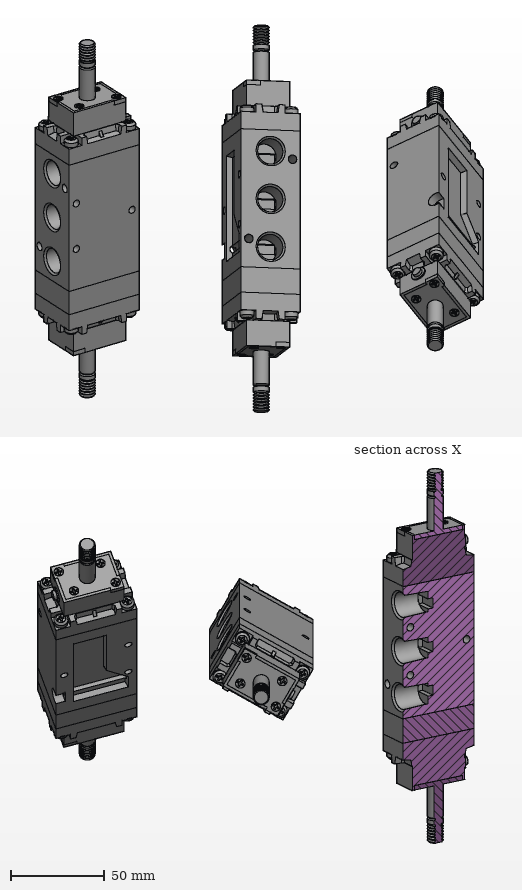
import cadquery as cq
import math


width = 32.5
depth = 45.5
total_length = 209.3
cap_height = 13.9
pilot_height = 13.85
cap_base = 44.4
cap_top = cap_base + cap_height
pilot_top = cap_top + pilot_height
stem_tip = total_length / 2
spacer_height = 13.8
body_top = cap_base
body_bottom = -cap_base + spacer_height
body_mid = (body_top + body_bottom) / 2
side_x = width / 2
side_y = depth / 2

port_pitch = 26.0
port_mouth_radius = 8.0
port_thread_radius = 6.9
port_floor_radius = 6.5
port_chamfer = port_mouth_radius - port_thread_radius
port_depth = 16.0
passage_pitch = 24.65
passage_height = 5.5
passage_depth = 3.0
mount_hole_diameter = 4.6
mount_hole_x = 12.0
mount_hole_z = 22.0
cross_hole_diameter = 4.0
cross_hole_y = 18.0
cross_hole_z = 13.5
recess_draft = 15.0
recess_depth = 3.3
recess_top = 35.6
recess_bottom = -21.7
recess_back = 12.8
recess_front_upper = -5.8
recess_front_lower = -17.9
recess_slope_start = 0.5
edge_notch_radius = 4.6
edge_notch_inset = 2.0
edge_notch_depth = 5.3

corner_size = 8.3
corner_depth = 4.4
screw_x = 12.1
screw_y = 18.6
screw_radius = 3.8
screw_top_radius = 2.6
screw_side_height = 2.5
screw_cone_height = 1.3
cap_cross_length = 3.4
cap_cross_width = 0.9
cap_cross_depth = 1.2
pocket_depth = 4.4
pocket_floor_rise = 1.0
pocket_draft = 10.0
pocket_corner = 1.3
wide_pocket_half = 11.4
narrow_pocket_half = 4.8
wall_gap = 0.3
rib_width = 1.9
rib_length = 2.4
rib_drop = 1.3

pilot_width = 23.7
pilot_depth = 33.8
plate_thickness = 2.5
rim = 1.6
tab_x = 7.7
tab_y = 7.3
tab_screw = (7.75, 13.5)
plate_screw = (6.2, -9.4)
screw_well_radius = 2.5
screw_well_depth = 0.4
pilot_cross_length = 3.4
pilot_cross_width = 0.9
pilot_cross_depth = 1.0
button_flange_radius = 4.2
button_z = cap_top + button_flange_radius
button_flange_thickness = 0.7
button_radius = 2.6
button_reach = 2.4

stem_radius = 4.3
thread_root_radius = 3.7
thread_pitch = 1.6
thread_count = 6
neck_height = 0.85
collar_height = 2.5
groove_height = 1.4


def block(size_x, size_y, z_bottom, z_top):
    """Box centred on the Z axis between two levels."""
    base = cq.Workplane("XY", origin=(0, 0, z_bottom))
    return base.rect(size_x, size_y).extrude(z_top - z_bottom)


def cross_cutter(x, y, z_top, length, arm_width, cut_depth):
    """Phillips cross reaching down from z_top."""
    base = cq.Workplane("XY", origin=(x, y, z_top - cut_depth))
    arm = base.rect(length, arm_width).extrude(cut_depth)
    return arm.union(base.rect(arm_width, length).extrude(cut_depth))


def port_cutter(z):
    """Chamfered, tapered port bored in from the -Y face."""
    profile = [
        (0, 0),
        (port_mouth_radius, 0),
        (port_thread_radius, port_chamfer),
        (port_floor_radius, port_depth),
        (0, port_depth),
    ]
    cutter = cq.Workplane("XY").polyline(profile).close().revolve(360, (0, 0, 0), (0, 1, 0))
    return cutter.translate((0, -side_y, z))


def passage_cutter(z):
    """Flat passage that continues behind the floor of a port."""
    cutter = cq.Workplane("XY").box(2 * port_floor_radius, passage_depth, passage_height)
    return cutter.translate((0, -side_y + port_depth + passage_depth / 2, z))


def side_recess_cutter():
    """Drafted recess in the -X face; its lower front corner is cut at 45 degrees."""
    slope_end = recess_slope_start - (recess_front_upper - recess_front_lower)
    outline = [
        (recess_back, recess_top),
        (recess_back, recess_bottom),
        (recess_front_lower, recess_bottom),
        (recess_front_lower, slope_end),
        (recess_front_upper, recess_slope_start),
        (recess_front_upper, recess_top),
    ]
    face = cq.Workplane("YZ", origin=(-side_x, 0, 0))
    return face.polyline(outline).close().extrude(recess_depth, taper=recess_draft)


def make_valve_body():
    body = block(width, depth, body_bottom, body_top)
    for step in (-1, 0, 1):
        body = body.cut(port_cutter(body_mid + step * port_pitch))
        body = body.cut(passage_cutter(body_mid + step * passage_pitch))
    body = body.cut(side_recess_cutter())

    for side in (-1, 1):
        start = (side * mount_hole_x, -side_y, body_mid + side * mount_hole_z)
        along_y = cq.Workplane("XZ", origin=start)
        body = body.cut(along_y.circle(mount_hole_diameter / 2).extrude(-depth))

    cross_holes = [
        (cross_hole_y, body_mid),
        (-cross_hole_y, body_mid + cross_hole_z),
        (-cross_hole_y, body_mid - cross_hole_z),
    ]
    along_x = cq.Workplane("YZ", origin=(-side_x, 0, 0)).pushPoints(cross_holes)
    body = body.cut(along_x.circle(cross_hole_diameter / 2).extrude(width))

    notch_start = (-side_x + edge_notch_inset, side_y, body_mid - mount_hole_z)
    notch = cq.Workplane("XZ", origin=notch_start).circle(edge_notch_radius)
    return body.cut(notch.extrude(edge_notch_depth))


def make_spacer():
    return block(width, depth, -cap_base, body_bottom)


def pocket_cutter(half_width, face_distance, wall_distance):
    """Pocket open on top and outwards along -Y: drafted walls, floor falling outwards."""
    reach = face_distance + pocket_depth
    outline = [
        (-half_width, -reach),
        (half_width, -reach),
        (half_width, -wall_distance - pocket_corner),
        (half_width - pocket_corner, -wall_distance),
        (-half_width + pocket_corner, -wall_distance),
        (-half_width, -wall_distance - pocket_corner),
    ]
    plan = cq.Workplane("XY", origin=(0, 0, cap_top)).polyline(outline).close()
    well = plan.extrude(-pocket_depth, taper=pocket_draft)
    floor_low = cap_top - pocket_depth
    slope = pocket_floor_rise / (face_distance - wall_distance)
    floor_profile = [
        (-reach, floor_low - slope * pocket_depth),
        (0, floor_low + slope * face_distance),
        (0, cap_top),
        (-reach, cap_top),
    ]
    side_plane = cq.Workplane("YZ", origin=(-half_width, 0, 0))
    return well.intersect(side_plane.polyline(floor_profile).close().extrude(2 * half_width))


def pocket_rib(wall_distance):
    """Small wedge left standing against the inner wall of a pocket."""
    wall_lean = math.tan(math.radians(pocket_draft)) * rib_drop
    top = cap_top - rib_drop
    bottom = cap_top - pocket_depth
    shoulder = -wall_distance - wall_lean
    profile = [
        (-wall_distance, bottom),
        (-wall_distance, top),
        (shoulder, top),
        (shoulder - rib_length, bottom),
    ]
    plane = cq.Workplane("YZ", origin=(-rib_width / 2, 0, 0))
    return plane.polyline(profile).close().extrude(rib_width)


def cap_screw_head(x, y):
    base = cap_top - corner_depth
    shoulder = base + screw_side_height
    top = shoulder + screw_cone_height
    profile = [
        (0, base),
        (screw_radius, base),
        (screw_radius, shoulder),
        (screw_top_radius, top),
        (0, top),
    ]
    head = cq.Workplane("XZ").polyline(profile).close().revolve(360, (0, 0, 0), (0, 1, 0))
    head = head.translate((x, y, 0))
    return head.cut(cross_cutter(x, y, top, cap_cross_length, cap_cross_width, cap_cross_depth))


def make_cap():
    cap = block(width, depth, cap_base, cap_top)
    wall_x = pilot_width / 2 + wall_gap
    wall_y = pilot_depth / 2 + wall_gap
    for turn in (0, 180):
        narrow = pocket_cutter(narrow_pocket_half, side_y, wall_y)
        wide = pocket_cutter(wide_pocket_half, side_x, wall_x)
        wide = wide.cut(pocket_rib(wall_x))
        cap = cap.cut(narrow.rotate((0, 0, 0), (0, 0, 1), turn))
        cap = cap.cut(wide.rotate((0, 0, 0), (0, 0, 1), turn - 90))
    for sx in (-1, 1):
        for sy in (-1, 1):
            corner = block(corner_size, corner_size, cap_top - corner_depth, cap_top)
            corner_x = sx * (side_x - corner_size / 2)
            corner_y = sy * (side_y - corner_size / 2)
            cap = cap.cut(corner.translate((corner_x, corner_y, 0)))
            cap = cap.union(cap_screw_head(sx * screw_x, sy * screw_y))
    return cap


def plate_blank():
    """Plate outline: rectangle inside the rim plus two tabs reaching opposite corners."""
    bottom = pilot_top - plate_thickness
    blank = block(pilot_width - 2 * rim, pilot_depth - 2 * rim, bottom, pilot_top)
    for side in (-1, 1):
        tab = block(tab_x, tab_y, bottom, pilot_top)
        corner_x = side * (pilot_width - tab_x) / 2
        corner_y = side * (pilot_depth - tab_y) / 2
        blank = blank.union(tab.translate((corner_x, corner_y, 0)))
    return blank


def make_button():
    """Round flange and push button on the +Y face of the pilot housing."""
    face = cq.Workplane("XZ", origin=(0, pilot_depth / 2, button_z))
    flange = face.circle(button_flange_radius).extrude(-button_flange_thickness)
    return flange.union(face.circle(button_radius).extrude(-button_reach))


def make_end_block():
    housing = block(pilot_width, pilot_depth, cap_top, pilot_top)
    housing = housing.cut(plate_blank()).union(make_button())
    return make_cap().union(housing)


def stem():
    points = [(0, pilot_top), (stem_radius, pilot_top)]
    thread_bottom = stem_tip - thread_count * thread_pitch
    collar_top = thread_bottom - neck_height
    collar_bottom = collar_top - collar_height
    groove_bottom = collar_bottom - groove_height
    points += [
        (stem_radius, groove_bottom),
        (thread_root_radius, (groove_bottom + collar_bottom) / 2),
        (stem_radius, collar_bottom),
        (stem_radius, collar_top),
        (thread_root_radius, collar_top),
        (thread_root_radius, thread_bottom),
    ]
    for tooth in range(thread_count):
        root = thread_bottom + tooth * thread_pitch
        points.append((stem_radius, root + thread_pitch / 2))
        points.append((thread_root_radius, root + thread_pitch))
    points.append((0, stem_tip))
    return cq.Workplane("XZ").polyline(points).close().revolve(360, (0, 0, 0), (0, 1, 0))


def make_stem_plate():
    plate = plate_blank().union(stem())
    for side in (-1, 1):
        for screw in (tab_screw, plate_screw):
            x = side * screw[0]
            y = side * screw[1]
            seat = pilot_top - screw_well_depth
            well = cq.Workplane("XY", origin=(x, y, seat)).circle(screw_well_radius)
            plate = plate.cut(well.extrude(screw_well_depth))
            cross = cross_cutter(x, y, seat, pilot_cross_length, pilot_cross_width, pilot_cross_depth)
            plate = plate.cut(cross)
    return plate


valve_body = make_valve_body()
spacer = make_spacer()
end_block = make_end_block()
stem_plate = make_stem_plate()

solids = [valve_body.val(), spacer.val()]
for turn in (0, 180):
    for end_part in (end_block, stem_plate):
        solids.append(end_part.rotate((0, 0, 0), (0, 1, 0), turn).val())

result = cq.Compound.makeCompound(solids)